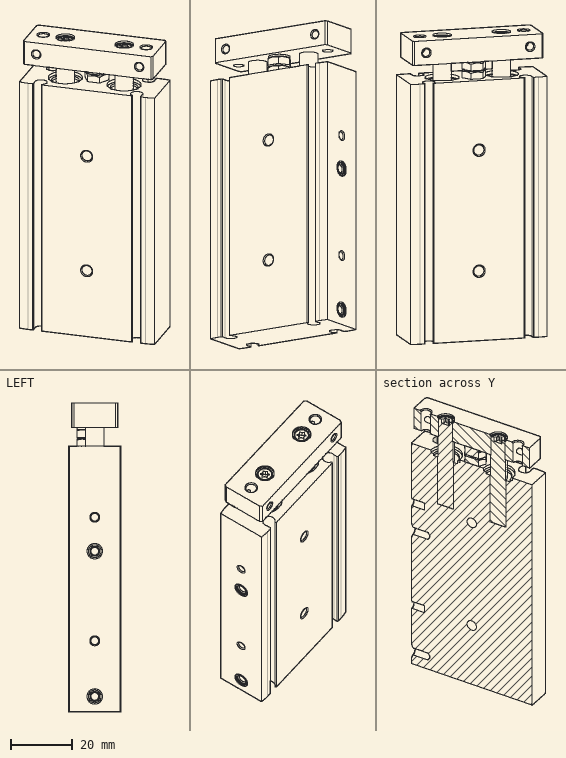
import cadquery as cq
import math

HOUSING_HEIGHT = 86.0
PLATE_THICKNESS = 8.0
PLATE_BOTTOM = 92.0
PLATE_TOP = PLATE_BOTTOM + PLATE_THICKNESS

HOUSING_WIDTH = 46.0
HOUSING_DEPTH = 17.0
FLAT_HALF_WIDTH = 20.0
FLANGE_RADIUS = 15.0

SLOT_CENTER_X = 16.3
SLOT_CENTER_Y = 6.3
SLOT_DIAMETER = 4.0
MOUTH_INNER_X = 15.5
MOUTH_OUTER_X = 18.2
MOUTH_CHAMFER = 0.3

MOUNT_HEIGHTS = (23.0, 63.0)
MOUNT_DIAMETER = 3.4
MOUNT_RIM_DIAMETER = 4.1

SIDE_HOLE_DIAMETER = 2.5
SIDE_HOLE_RIM_DIAMETER = 3.2
SIDE_HOLE_DEPTH = 5.0

PORT_HEIGHTS = (5.0, 52.0)
PORT_STEPS = ((5.0, 0.2), (4.1, 0.4))
PORT_DRILL_RIM_DIAMETER = 3.2
PORT_DRILL_DIAMETER = 2.5
PORT_DRILL_DEPTH = 6.0
DRILL_TIP_ANGLE = 118.0

ROD_X = 10.0
ROD_DIAMETER = 6.0
ROD_INSERTION = 20.0
RECESS_DIAMETER = 11.0
RECESS_DEPTH = 1.0
SEAL_DIAMETER = 9.0
SEAL_DEPTH = 1.8

ROD_END_DIAMETER = 5.0
ROD_END_CHAMFER = 0.3
COUNTERBORE_DEPTH = 0.6
COUNTERBORE_DIAMETER = 6.0
SOCKET_TIP_RADIUS = 1.5
SOCKET_ROOT_RADIUS = 0.95
SOCKET_DEPTH = 1.5
SOCKET_LOBES = 6

PLATE_WIDTH = 44.0
PLATE_DEPTH = 15.0
PLATE_CHAMFER_X = 0.5
PLATE_CHAMFER_Y = 0.8
PLATE_HOLE_X = 17.5
TOP_HOLE_DIAMETER = 3.4
TOP_HOLE_RIM_DIAMETER = 4.1
CROSS_HOLE_DIAMETER = 2.5
CROSS_HOLE_RIM_DIAMETER = 3.2

BOLT_Y = 2.3
HEX_SIDES = 6
HEX_FLATS = 7.0
HEX_CHAMFER_ANGLE = 30.0
HEX_FACE_DIAMETER = 6.5
NUT_HEIGHT = 2.4
HEAD_BOTTOM = 88.8
HEAD_TOP = 91.4
PAD_DIAMETER = 7.0
BOLT_DIAMETER = 4.0
BOLT_INSERTION = 8.0


DOWN = cq.Vector(0, 0, -1)
INTO_FRONT = cq.Vector(0, 1, 0)
INTO_BACK = cq.Vector(0, -1, 0)
INTO_SIDE = cq.Vector(1, 0, 0)


def cylinder(diameter, depth, mouth, direction):
    """Cylinder that starts at the point mouth and runs along direction."""
    return cq.Workplane(cq.Solid.makeCylinder(diameter / 2, depth, cq.Vector(*mouth), direction))


def rim_cone(rim_diameter, diameter, mouth, direction):
    """45 degree countersink that narrows from rim_diameter to diameter."""
    depth = (rim_diameter - diameter) / 2
    cone = cq.Solid.makeCone(rim_diameter / 2, diameter / 2, depth, cq.Vector(*mouth), direction)
    return cq.Workplane(cone)


def countersunk_hole(rim_diameter, diameter, depth, mouth, direction):
    """Cutter for a hole with a countersunk mouth."""
    hole = cylinder(diameter, depth, mouth, direction)
    return hole.union(rim_cone(rim_diameter, diameter, mouth, direction))




def housing_block():
    """Extrusion with flat front and back faces and gently curved flanges."""
    half_width = HOUSING_WIDTH / 2
    half_depth = HOUSING_DEPTH / 2

    def flange_y(x):
        offset = x - FLAT_HALF_WIDTH
        return half_depth - FLANGE_RADIUS + math.sqrt(FLANGE_RADIUS**2 - offset**2)

    middle_x = (FLAT_HALF_WIDTH + half_width) / 2
    middle_y = flange_y(middle_x)
    corner_y = flange_y(half_width)
    return (
        cq.Workplane("XY")
        .moveTo(-FLAT_HALF_WIDTH, -half_depth)
        .lineTo(FLAT_HALF_WIDTH, -half_depth)
        .threePointArc((middle_x, -middle_y), (half_width, -corner_y))
        .lineTo(half_width, corner_y)
        .threePointArc((middle_x, middle_y), (FLAT_HALF_WIDTH, half_depth))
        .lineTo(-FLAT_HALF_WIDTH, half_depth)
        .threePointArc((-middle_x, middle_y), (-half_width, corner_y))
        .lineTo(-half_width, -corner_y)
        .threePointArc((-middle_x, -middle_y), (-FLAT_HALF_WIDTH, -half_depth))
        .close()
        .extrude(HOUSING_HEIGHT)
    )


def sensor_slot(side_x, side_y):
    """Cutter for the slot in the quarter given by the signs side_x and side_y."""
    face_y = HOUSING_DEPTH / 2
    mouth_points = [
        (MOUTH_INNER_X, SLOT_CENTER_Y),
        (MOUTH_INNER_X, face_y - MOUTH_CHAMFER),
        (MOUTH_INNER_X - MOUTH_CHAMFER, face_y),
        (MOUTH_OUTER_X + MOUTH_CHAMFER, face_y),
        (MOUTH_OUTER_X, face_y - MOUTH_CHAMFER),
        (MOUTH_OUTER_X, SLOT_CENTER_Y),
    ]
    mouth = cq.Workplane("XY").polyline([(side_x * x, side_y * y) for x, y in mouth_points]).close()
    channel = cylinder(
        SLOT_DIAMETER,
        HOUSING_HEIGHT,
        (side_x * SLOT_CENTER_X, side_y * SLOT_CENTER_Y, HOUSING_HEIGHT),
        DOWN,
    )
    return channel.union(mouth.extrude(HOUSING_HEIGHT))


def mount_hole(z):
    """Cutter for a through hole that is countersunk at the front and the back."""
    face_y = HOUSING_DEPTH / 2
    front = countersunk_hole(
        MOUNT_RIM_DIAMETER, MOUNT_DIAMETER, HOUSING_DEPTH, (0, -face_y, z), INTO_FRONT
    )
    return front.union(rim_cone(MOUNT_RIM_DIAMETER, MOUNT_DIAMETER, (0, face_y, z), INTO_BACK))


def side_hole(z):
    """Cutter for a blind threaded hole in the -X side."""
    mouth = (-HOUSING_WIDTH / 2, 0, z)
    return countersunk_hole(
        SIDE_HOLE_RIM_DIAMETER, SIDE_HOLE_DIAMETER, SIDE_HOLE_DEPTH, mouth, INTO_SIDE
    )


def air_port(z):
    """Cutter for a port in the -X side: shallow steps, then a countersunk hole with a drill tip."""
    face_x = -HOUSING_WIDTH / 2
    floor_x = face_x + max(depth for _, depth in PORT_STEPS)
    port = countersunk_hole(
        PORT_DRILL_RIM_DIAMETER, PORT_DRILL_DIAMETER, PORT_DRILL_DEPTH, (floor_x, 0, z), INTO_SIDE
    )
    for diameter, depth in PORT_STEPS:
        port = port.union(cylinder(diameter, depth, (face_x, 0, z), INTO_SIDE))
    drill_radius = PORT_DRILL_DIAMETER / 2
    tip_length = drill_radius / math.tan(math.radians(DRILL_TIP_ANGLE / 2))
    tip_start = cq.Vector(floor_x + PORT_DRILL_DEPTH, 0, z)
    tip = cq.Solid.makeCone(drill_radius, 0, tip_length, tip_start, INTO_SIDE)
    return port.union(cq.Workplane(tip))


def rod_bore(x):
    """Cutter for a rod's bore and the stepped recess around its mouth."""
    mouth = (x, 0, HOUSING_HEIGHT)
    recess = cylinder(RECESS_DIAMETER, RECESS_DEPTH, mouth, DOWN)
    seal_seat = cylinder(SEAL_DIAMETER, SEAL_DEPTH, mouth, DOWN)
    bore = cylinder(ROD_DIAMETER, ROD_INSERTION, mouth, DOWN)
    return recess.union(seal_seat).union(bore)


def make_housing():
    """Housing with its slots, bores, mounting holes and ports."""
    housing = housing_block()
    for side_x in (-1, 1):
        for side_y in (-1, 1):
            housing = housing.cut(sensor_slot(side_x, side_y))
        housing = housing.cut(rod_bore(side_x * ROD_X))
    for z in MOUNT_HEIGHTS:
        housing = housing.cut(mount_hole(z)).cut(side_hole(z))
    for z in PORT_HEIGHTS:
        housing = housing.cut(air_port(z))
    bolt_mouth = (0, BOLT_Y, HOUSING_HEIGHT)
    return housing.cut(cylinder(BOLT_DIAMETER, BOLT_INSERTION, bolt_mouth, DOWN))




def plate_block():
    """Plate with its four upright corners cut back further along Y than along X."""
    end_x = PLATE_WIDTH / 2
    face_y = PLATE_DEPTH / 2
    corner_x = end_x - PLATE_CHAMFER_X
    corner_y = face_y - PLATE_CHAMFER_Y
    outline = [
        (-corner_x, -face_y),
        (corner_x, -face_y),
        (end_x, -corner_y),
        (end_x, corner_y),
        (corner_x, face_y),
        (-corner_x, face_y),
        (-end_x, corner_y),
        (-end_x, -corner_y),
    ]
    return cq.Workplane("XY", origin=(0, 0, PLATE_BOTTOM)).polyline(outline).close().extrude(PLATE_THICKNESS)


def make_plate():
    """Plate with its threaded top holes, cross holes and counterbored rod holes."""
    plate = plate_block()
    face_y = PLATE_DEPTH / 2
    cross_z = PLATE_BOTTOM + PLATE_THICKNESS / 2
    for side in (-1, 1):
        hole_x = side * PLATE_HOLE_X
        top_hole = countersunk_hole(
            TOP_HOLE_RIM_DIAMETER, TOP_HOLE_DIAMETER, PLATE_THICKNESS, (hole_x, 0, PLATE_TOP), DOWN
        )
        cross_hole = countersunk_hole(
            CROSS_HOLE_RIM_DIAMETER,
            CROSS_HOLE_DIAMETER,
            PLATE_DEPTH,
            (hole_x, -face_y, cross_z),
            INTO_FRONT,
        )
        back_rim = rim_cone(
            CROSS_HOLE_RIM_DIAMETER, CROSS_HOLE_DIAMETER, (hole_x, face_y, cross_z), INTO_BACK
        )
        rod_mouth = (side * ROD_X, 0, PLATE_TOP)
        rod_hole = cylinder(ROD_END_DIAMETER, PLATE_THICKNESS, rod_mouth, DOWN)
        counterbore = cylinder(COUNTERBORE_DIAMETER, COUNTERBORE_DEPTH, rod_mouth, DOWN)
        plate = plate.cut(top_hole).cut(cross_hole).cut(back_rim).cut(rod_hole).cut(counterbore)
    return plate




def drive_socket(x, top):
    """Cutter for the star-shaped socket in a rod end."""
    points = []
    for step in range(2 * SOCKET_LOBES):
        radius = SOCKET_ROOT_RADIUS if step % 2 else SOCKET_TIP_RADIUS
        angle = math.pi * step / SOCKET_LOBES
        points.append((x + radius * math.cos(angle), radius * math.sin(angle)))
    outline = cq.Workplane("XY").workplane(offset=top).polyline(points).close()
    return outline.extrude(-SOCKET_DEPTH)


def make_rod(x):
    """Rod that stops under the plate, with a slimmer end that fills the plate's hole."""
    rod_top = (x, 0, PLATE_BOTTOM)
    rod = cylinder(ROD_DIAMETER, PLATE_BOTTOM - HOUSING_HEIGHT + ROD_INSERTION, rod_top, DOWN)
    end_top = PLATE_TOP - COUNTERBORE_DEPTH
    end = cylinder(ROD_END_DIAMETER, end_top - PLATE_BOTTOM, (x, 0, end_top), DOWN)
    end = end.faces(">Z").chamfer(ROD_END_CHAMFER)
    return rod.union(end).cut(drive_socket(x, end_top))




def chamfered_hex(bottom, top):
    """Hexagonal prism, flats facing front and back, with its upper corners turned to a cone."""
    corner_radius = HEX_FLATS / math.sqrt(3)
    face_radius = HEX_FACE_DIAMETER / 2
    slope = math.tan(math.radians(HEX_CHAMFER_ANGLE))
    hexagon = (
        cq.Workplane("XY")
        .workplane(offset=bottom)
        .center(0, BOLT_Y)
        .polygon(HEX_SIDES, 2 * corner_radius)
        .extrude(top - bottom)
    )
    shoulder = top - (corner_radius - face_radius) * slope
    half_section = [
        (0, bottom),
        (corner_radius, bottom),
        (corner_radius, shoulder),
        (face_radius, top),
        (0, top),
    ]
    envelope = cq.Workplane("XZ", origin=(0, BOLT_Y, 0)).polyline(half_section).close()
    return hexagon.intersect(envelope.revolve(360, (0, 0), (0, 1)))


def make_bolt():
    """Bolt with a hexagonal head and a round pad on it that meets the plate."""
    pad = cylinder(PAD_DIAMETER, PLATE_BOTTOM - HEAD_TOP, (0, BOLT_Y, PLATE_BOTTOM), DOWN)
    shank_length = HEAD_BOTTOM - HOUSING_HEIGHT + BOLT_INSERTION
    shank = cylinder(BOLT_DIAMETER, shank_length, (0, BOLT_Y, HEAD_BOTTOM), DOWN)
    return chamfered_hex(HEAD_BOTTOM, HEAD_TOP).union(pad).union(shank)


def make_nut():
    """Lock nut that sits on the housing around the bolt."""
    nut_top = HOUSING_HEIGHT + NUT_HEIGHT
    hole = cylinder(BOLT_DIAMETER, NUT_HEIGHT, (0, BOLT_Y, nut_top), DOWN)
    return chamfered_hex(HOUSING_HEIGHT, nut_top).cut(hole)


housing = make_housing()
plate = make_plate()
rods = [make_rod(side * ROD_X) for side in (-1, 1)]
bolt = make_bolt()
nut = make_nut()

result = cq.Compound.makeCompound(
    [housing.val(), plate.val(), *[rod.val() for rod in rods], bolt.val(), nut.val()]
)